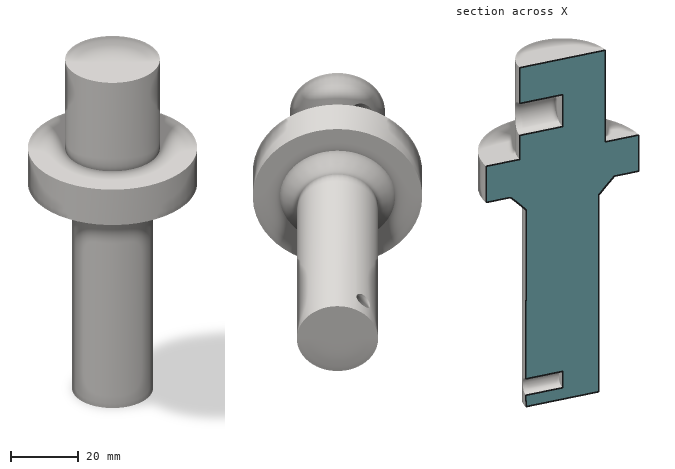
import cadquery as cq

TOTAL_HEIGHT = 111.5
HEAD_DIAMETER = 28.0
HEAD_HEIGHT = 30.0
FLANGE_DIAMETER = 50.0
FLANGE_THICKNESS = 12.0
STEM_DIAMETER = 24.0
CONE_HEIGHT = 5.0
CONE_TOP_DIAMETER = STEM_DIAMETER + 2 * CONE_HEIGHT

HEAD_HOLE_DIAMETER = 10.3
HEAD_HOLE_BELOW_TOP = 17.0
STEM_HOLE_DIAMETER = 5.2
STEM_HOLE_ABOVE_BASE = 6.5

flange_top = TOTAL_HEIGHT - HEAD_HEIGHT
flange_bottom = flange_top - FLANGE_THICKNESS
cone_bottom = flange_bottom - CONE_HEIGHT


def make_stepped_shaft():
    """Revolve the half outline of the stem, cone, flange and head about Z."""
    outline = [
        (0, 0),
        (STEM_DIAMETER / 2, 0),
        (STEM_DIAMETER / 2, cone_bottom),
        (CONE_TOP_DIAMETER / 2, flange_bottom),
        (FLANGE_DIAMETER / 2, flange_bottom),
        (FLANGE_DIAMETER / 2, flange_top),
        (HEAD_DIAMETER / 2, flange_top),
        (HEAD_DIAMETER / 2, TOTAL_HEIGHT),
        (0, TOTAL_HEIGHT),
    ]
    return cq.Workplane("XZ").polyline(outline).close().revolve(360, (0, 0), (0, 1))


def make_cross_hole(diameter, level):
    """Cylinder running from the shaft axis out past the +Y surface."""
    start = cq.Vector(0, 0, level)
    toward_back = cq.Vector(0, 1, 0)
    length = FLANGE_DIAMETER / 2
    return cq.Workplane(cq.Solid.makeCylinder(diameter / 2, length, start, toward_back))


shaft = make_stepped_shaft()
head_hole = make_cross_hole(HEAD_HOLE_DIAMETER, TOTAL_HEIGHT - HEAD_HOLE_BELOW_TOP)
stem_hole = make_cross_hole(STEM_HOLE_DIAMETER, STEM_HOLE_ABOVE_BASE)

result = shaft.cut(head_hole).cut(stem_hole)